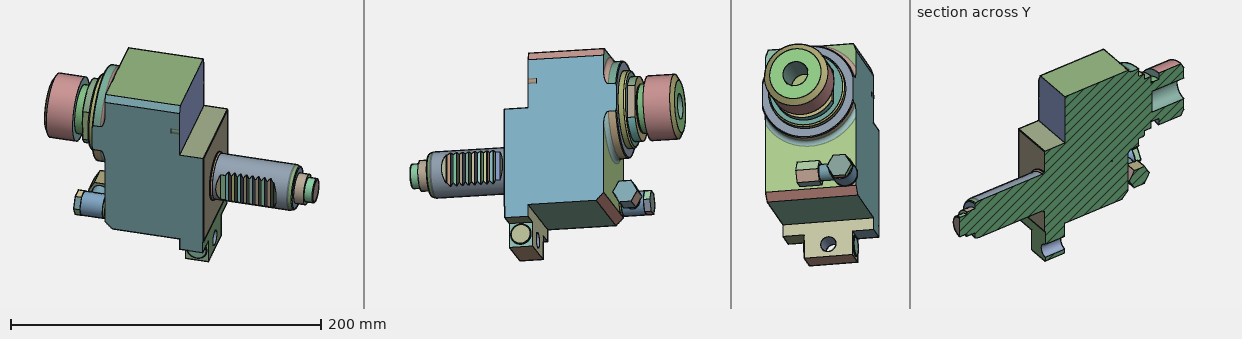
import cadquery as cq
import math


HALF_WIDTH = 30.0
FRONT_X = -65.9
STEP_X = -16.0
MOUNT_BACK_X = -0.6
TOP_Z = 69.6
STEP_Z = 32.5
BASE_Z = -STEP_Z
BLOCK_BASE_Z = -40.4
BOTTOM_CHAMFER = 5.0
TOP_CHAMFER_HEIGHT = 5.0
TOP_CHAMFER_ANGLE = math.radians(20)
TOP_CHAMFER_WIDTH = TOP_CHAMFER_HEIGHT * math.tan(TOP_CHAMFER_ANGLE)
PLATE_CHAMFER = 0.4

TAB_WIDTH = 32.0
TAB_BOTTOM_Z = -56.4
TAB_HOLE_DIAMETER = 10.0
TAB_HOLE_Z = -48.0
BUTTON_RADIUS = 6.75
BUTTON_HEIGHT = 0.8
BUTTON_CHAMFER = 0.5

SPINDLE_Z = 36.0
NOSE_X = -109.75
NOSE_END_X = -89.9
NOSE_RADIUS = 21.0
NOSE_FACE_RADIUS = 17.0
NOSE_CHAMFER_LENGTH = 2.3
NECK_RADIUS = 16.0
NECK_END_X = -84.8
RELIEF_RADIUS = 15.3
NUT_X = -84.0
NUT_RADIUS = 21.0
NUT_FLAT_OFFSET = 18.1
COVER_X = -78.9
COVER_RADIUS = 25.2
COVER_CHAMFER = 1.0
FLANGE_X = -74.4
FLANGE_RADIUS = 31.4
FLANGE_CHAMFER = 0.6
FLANGE_FILLET = 3.0
BORE_DIAMETER = 16.4
BORE_DEPTH = 25.0

SHANK_RADIUS = 15.0
COLLAR_RADIUS = 16.0
COLLAR_STRAIGHT = 0.7
COLLAR_END_X = 1.7
SHANK_END_X = 54.7
SHANK_CHAMFER_LENGTH = 3.3
SHANK_CHAMFER_HEIGHT = 0.8
SHANK_BLEND_LENGTH = 0.6
SHANK_BLEND_DROP = 0.08
SHANK_EDGE_CHAMFER = 0.6
PILOT_RADIUS = 10.0
PILOT_END_X = 61.1
STUB_RADIUS = 8.0
STUB_END_X = 66.91
STUB_CHAMFER = 0.6

TOOTH_CREST_Y = 11.7
TOOTH_ROOT_Y = 10.0
TOOTH_PITCH = 4.0
TOOTH_COUNT = 8
FIRST_ROOT_X = 11.4
LAND_START_X = 6.4
ROOT_FLAT = 0.4
END_LAND = 0.7
CUT_CLEARANCE = 1.0
END_SLOPE = math.radians(54)

SCREW_Y = -23.5
SCREW_Z = -20.3
SCREW_RADIUS = 7.9
HEX_FLATS = 14.0
HEX_CORNERS = HEX_FLATS / math.cos(math.radians(30))
SCREW_HEX_X = -86.4
SCREW_BODY_X = -82.1
SCREW_BODY_END_X = -67.3
SCREW_NECK_RADIUS = 7.3
NOZZLE_X = (SCREW_BODY_X + SCREW_BODY_END_X) / 2
NOZZLE_STEM_RADIUS = 5.3
NOZZLE_INNER_Y = -8.6
NOZZLE_OUTER_Y = 6.0

RIB_Z = 50.2
RIB_START_X = -21.6
RIB_HEIGHT = 0.25
RIB_WIDTH = 2.9
RIB_RADIUS = ((RIB_WIDTH / 2) ** 2 + RIB_HEIGHT ** 2) / (2 * RIB_HEIGHT)

SIDES = (-1, 1)


def box(x_range, y_range, z_range):
    """Box between two limits on each axis."""
    lows, highs = zip(x_range, y_range, z_range)
    sizes = [high - low for low, high in zip(lows, highs)]
    return cq.Workplane("XY").box(*sizes, centered=False).translate(lows)


def rod_x(radius, x_start, x_end, y, z):
    """Cylinder along X."""
    return cq.Workplane("YZ", origin=(x_start, y, z)).circle(radius).extrude(x_end - x_start)


def revolve_about_x(profile, axis_z):
    """Turn a closed (x, radius) profile about a line parallel to X."""
    return profile.close().revolve(360, (0, 0, 0), (1, 0, 0)).translate((0, 0, axis_z))


def make_housing():
    full_width = (-HALF_WIDTH, HALF_WIDTH)
    upper = box((FRONT_X, STEP_X), full_width, (BASE_Z, TOP_Z))
    upper = upper.faces("<X").edges("<Z").chamfer(BOTTOM_CHAMFER)
    for side in SIDES:
        corner = (
            cq.Workplane("YZ", origin=(FRONT_X, 0, 0))
            .moveTo(side * HALF_WIDTH, TOP_Z)
            .lineTo(side * (HALF_WIDTH - TOP_CHAMFER_WIDTH), TOP_Z)
            .lineTo(side * HALF_WIDTH, TOP_Z - TOP_CHAMFER_HEIGHT)
            .close()
            .extrude(STEP_X - FRONT_X)
        )
        upper = upper.cut(corner)
    block = box((STEP_X, MOUNT_BACK_X), full_width, (BLOCK_BASE_Z, STEP_Z))
    plate = box((MOUNT_BACK_X, 0), full_width, (BASE_Z, STEP_Z)).faces(">X").chamfer(PLATE_CHAMFER)
    return upper.union(block).union(plate)


def make_tab():
    tab_side = TAB_WIDTH / 2
    tab = box((STEP_X, MOUNT_BACK_X), (-tab_side, tab_side), (TAB_BOTTOM_Z, BLOCK_BASE_Z))
    buttons = (
        cq.Workplane("XZ", origin=((STEP_X + MOUNT_BACK_X) / 2, 0, TAB_HOLE_Z))
        .circle(BUTTON_RADIUS)
        .extrude(tab_side + BUTTON_HEIGHT, both=True)
        .faces("<Y or >Y")
        .chamfer(BUTTON_CHAMFER)
    )
    hole = rod_x(TAB_HOLE_DIAMETER / 2, STEP_X, MOUNT_BACK_X, 0, TAB_HOLE_Z)
    return tab.union(buttons).cut(hole)


def make_nose():
    profile = (
        cq.Workplane("XY")
        .moveTo(NOSE_X, 0)
        .lineTo(NOSE_X, NOSE_FACE_RADIUS)
        .lineTo(NOSE_X + NOSE_CHAMFER_LENGTH, NOSE_RADIUS)
        .lineTo(NOSE_END_X, NOSE_RADIUS)
        .lineTo(NOSE_END_X, NECK_RADIUS)
        .lineTo(NECK_END_X, NECK_RADIUS)
        .lineTo(NECK_END_X, RELIEF_RADIUS)
        .lineTo(COVER_X, RELIEF_RADIUS)
        .lineTo(COVER_X, COVER_RADIUS - COVER_CHAMFER)
        .lineTo(COVER_X + COVER_CHAMFER, COVER_RADIUS)
        .lineTo(FLANGE_X, COVER_RADIUS)
        .lineTo(FLANGE_X, 0)
    )
    nut = rod_x(NUT_RADIUS, NUT_X, COVER_X, 0, SPINDLE_Z)
    nut = nut.intersect(
        box(
            (NUT_X, COVER_X),
            (-NUT_FLAT_OFFSET, NUT_FLAT_OFFSET),
            (SPINDLE_Z - NUT_RADIUS, SPINDLE_Z + NUT_RADIUS),
        )
    )
    bore = rod_x(BORE_DIAMETER / 2, NOSE_X, NOSE_X + BORE_DEPTH, 0, SPINDLE_Z)
    return revolve_about_x(profile, SPINDLE_Z).union(nut).cut(bore)


def make_flange():
    """Round flange blended into the housing front and trimmed to the housing width."""
    fillet_start_x = FRONT_X - FLANGE_FILLET
    foot_radius = FLANGE_RADIUS + FLANGE_FILLET
    sag = FLANGE_FILLET * math.sin(math.radians(45))
    fillet_middle = (fillet_start_x + sag, foot_radius - sag)
    profile = (
        cq.Workplane("XY")
        .moveTo(FLANGE_X, 0)
        .lineTo(FLANGE_X, FLANGE_RADIUS - FLANGE_CHAMFER)
        .lineTo(FLANGE_X + FLANGE_CHAMFER, FLANGE_RADIUS)
        .lineTo(fillet_start_x, FLANGE_RADIUS)
        .threePointArc(fillet_middle, (FRONT_X, foot_radius))
        .lineTo(FRONT_X, 0)
    )
    envelope = box((FLANGE_X, FRONT_X), (-HALF_WIDTH, HALF_WIDTH), (BASE_Z, TOP_Z))
    return revolve_about_x(profile, SPINDLE_Z).intersect(envelope)


def make_shank():
    tip_radius = SHANK_RADIUS - SHANK_CHAMFER_HEIGHT
    blend_start_x = SHANK_END_X - SHANK_CHAMFER_LENGTH
    profile = (
        cq.Workplane("XY")
        .moveTo(MOUNT_BACK_X, 0)
        .lineTo(MOUNT_BACK_X, COLLAR_RADIUS)
        .lineTo(COLLAR_STRAIGHT, COLLAR_RADIUS)
        .lineTo(COLLAR_END_X, SHANK_RADIUS)
        .lineTo(blend_start_x, SHANK_RADIUS)
        .tangentArcPoint(
            (blend_start_x + SHANK_BLEND_LENGTH, SHANK_RADIUS - SHANK_BLEND_DROP), relative=False
        )
        .lineTo(SHANK_END_X - SHANK_EDGE_CHAMFER, tip_radius)
        .lineTo(SHANK_END_X, tip_radius - SHANK_EDGE_CHAMFER)
        .lineTo(SHANK_END_X, PILOT_RADIUS)
        .lineTo(PILOT_END_X, PILOT_RADIUS)
        .lineTo(PILOT_END_X, STUB_RADIUS)
        .lineTo(STUB_END_X - STUB_CHAMFER, STUB_RADIUS)
        .lineTo(STUB_END_X, STUB_RADIUS - STUB_CHAMFER)
        .lineTo(STUB_END_X, 0)
    )
    shank = revolve_about_x(profile, 0)
    for side in SIDES:
        shank = shank.cut(make_tooth_pocket(side))
    return shank


def make_tooth_pocket(side):
    """Material removed from one side of the shank, leaving upright V teeth."""
    last_root_x = FIRST_ROOT_X + (TOOTH_COUNT - 1) * TOOTH_PITCH
    half_groove = ROOT_FLAT / 2 + TOOTH_CREST_Y - TOOTH_ROOT_Y
    outer_y = SHANK_RADIUS + CUT_CLEARANCE
    slope_run = (outer_y - TOOTH_CREST_Y) / math.tan(END_SLOPE)
    points = [(LAND_START_X - slope_run, outer_y), (LAND_START_X, TOOTH_CREST_Y)]
    for index in range(TOOTH_COUNT):
        root_x = FIRST_ROOT_X + index * TOOTH_PITCH
        points += [
            (root_x - half_groove, TOOTH_CREST_Y),
            (root_x - ROOT_FLAT / 2, TOOTH_ROOT_Y),
            (root_x + ROOT_FLAT / 2, TOOTH_ROOT_Y),
            (root_x + half_groove, TOOTH_CREST_Y),
        ]
    land_end_x = last_root_x + half_groove + END_LAND
    points += [(land_end_x, TOOTH_CREST_Y), (land_end_x + slope_run, outer_y)]
    outline = [(x, side * y) for x, y in points]
    return cq.Workplane("XY").polyline(outline).close().extrude(SHANK_RADIUS, both=True)


def make_coolant_screw():
    """Screw in the housing front, with its hexagon corners pointing along Y."""
    hexagon = (
        cq.Workplane("YZ", origin=(SCREW_HEX_X, SCREW_Y, SCREW_Z))
        .polygon(6, HEX_CORNERS)
        .extrude(SCREW_BODY_X - SCREW_HEX_X)
    )
    body = rod_x(SCREW_RADIUS, SCREW_BODY_X, SCREW_BODY_END_X, SCREW_Y, SCREW_Z)
    neck = rod_x(SCREW_NECK_RADIUS, SCREW_BODY_END_X, FRONT_X, SCREW_Y, SCREW_Z)
    return hexagon.union(body).union(neck)


def make_nozzle():
    """Hexagonal nozzle on a round stem, branching off the coolant screw along +Y."""
    stem = (
        cq.Workplane("XZ", origin=(NOZZLE_X, SCREW_Y, SCREW_Z))
        .circle(NOZZLE_STEM_RADIUS)
        .extrude(SCREW_Y - NOZZLE_INNER_Y)
    )
    hexagon = (
        cq.Workplane("XZ", origin=(NOZZLE_X, NOZZLE_INNER_Y, SCREW_Z))
        .polygon(6, HEX_CORNERS)
        .extrude(NOZZLE_INNER_Y - NOZZLE_OUTER_Y)
    )
    return stem.union(hexagon)


def make_marker_rib(side):
    """Shallow rounded rib standing proud of one housing side."""
    axis_y = side * (HALF_WIDTH + RIB_HEIGHT - RIB_RADIUS)
    return rod_x(RIB_RADIUS, RIB_START_X, STEP_X, axis_y, RIB_Z)


result = make_housing()
features = [make_tab(), make_flange(), make_nose(), make_shank(), make_coolant_screw(), make_nozzle()]
features += [make_marker_rib(side) for side in SIDES]
for feature in features:
    result = result.union(feature)